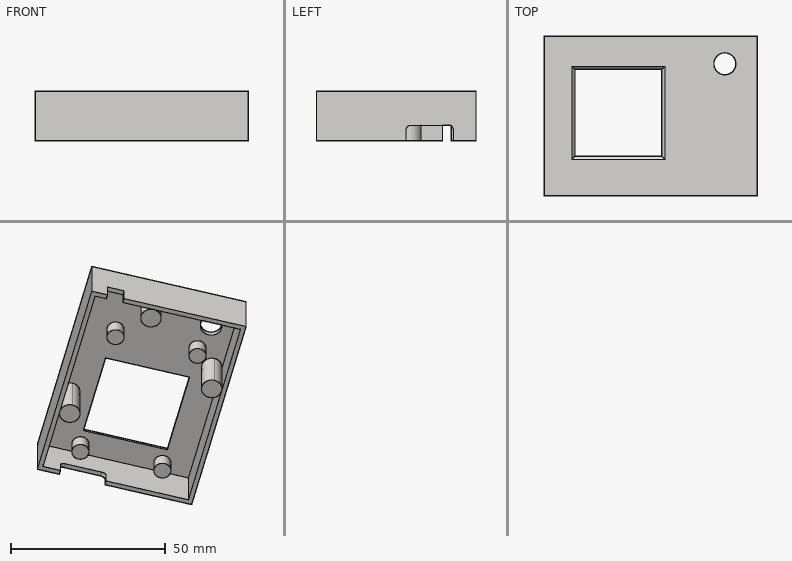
import cadquery as cq

length = 68.8
width = 51.6
height = 16.0
wall = 1.5
plate_thickness = 2.0
plate_underside = height - plate_thickness

window_size = 28.0
window_top_size = 30.0
window_bevel = (window_top_size - window_size) / 2
window_x = -10.45
window_y = 1.0

button_diameter = 7.0
button_x = 23.95
button_y = 16.85

post_diameter = 6.6
post_wall_x = length / 2 - wall - post_diameter / 2
post_wall_y = width / 2 - wall - post_diameter / 2
post_offset_x = 10.3
post_shift_x = -1.25
post_side_y = -4.75
post_centres = [
    (post_shift_x + post_offset_x, post_wall_y),
    (post_shift_x - post_offset_x, -post_wall_y),
    (post_wall_x, post_side_y),
]

standoff_diameter = 5.5
standoff_length = 5.0
standoff_spacing_x = 44.3
standoff_spacing_y = 27.4
standoff_x = -7.4
standoff_y = window_y

notch_height = 5.0
left_notch_width = 15.3
left_notch_y = -10.8
left_notch_radius = 1.5
right_notch_width = 5.5
right_notch_y = -17.75


def make_shell():
    outer = cq.Workplane("XY").box(length, width, height, centered=(True, True, False))
    cavity = cq.Workplane("XY").box(
        length - 2 * wall, width - 2 * wall, plate_underside, centered=(True, True, False)
    )
    return outer.cut(cavity)


def make_posts():
    return cq.Workplane("XY").pushPoints(post_centres).circle(post_diameter / 2).extrude(height)


def make_standoffs():
    return (
        cq.Workplane("XY", origin=(standoff_x, standoff_y, plate_underside - standoff_length))
        .rarray(standoff_spacing_x, standoff_spacing_y, 2, 2)
        .circle(standoff_diameter / 2)
        .extrude(standoff_length + plate_thickness)
    )


def make_window():
    opening = (
        cq.Workplane("XY", origin=(window_x, window_y, plate_underside))
        .rect(window_size, window_size)
        .extrude(plate_thickness)
    )
    bevel = (
        cq.Workplane("XY", origin=(window_x, window_y, height - window_bevel))
        .rect(window_size, window_size)
        .workplane(offset=window_bevel)
        .rect(window_top_size, window_top_size)
        .loft(ruled=True)
    )
    return opening.union(bevel)


def make_button_hole():
    return (
        cq.Workplane("XY", origin=(button_x, button_y, plate_underside))
        .circle(button_diameter / 2)
        .extrude(plate_thickness)
    )


def make_notch(wall_x, centre_y, notch_width):
    return cq.Workplane("XY", origin=(wall_x, centre_y, 0)).box(
        wall, notch_width, notch_height, centered=(True, True, False)
    )


wall_centre_x = (length - wall) / 2
left_notch = make_notch(-wall_centre_x, left_notch_y, left_notch_width)
left_notch = left_notch.edges("|X and >Z").fillet(left_notch_radius)
right_notch = make_notch(wall_centre_x, right_notch_y, right_notch_width)

result = (
    make_shell()
    .union(make_posts())
    .union(make_standoffs())
    .cut(make_window())
    .cut(make_button_hole())
    .cut(left_notch)
    .cut(right_notch)
)